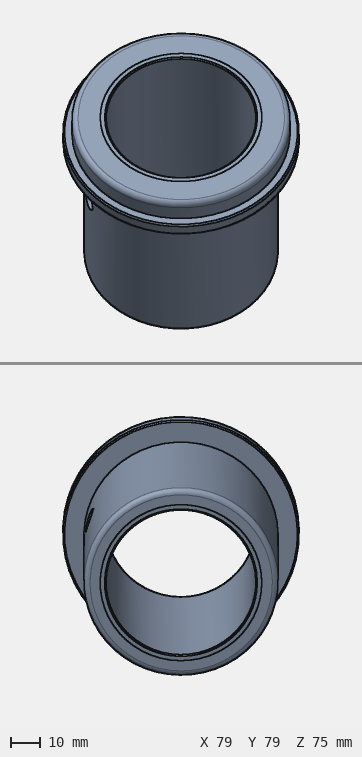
import cadquery as cq

height = 75.0
flange_radius = 39.5
head_radius = 36.5
body_radius = 32.5
liner_outer_radius = 27.0
bore_radius = 25.0

flange_top = height - 8.0
flange_bottom = height - 13.0
groove_bottom = height - 15.0
hole_level = height - 32.0

end_fillet = 2.0
flange_chamfer = 0.55
groove_depth = 0.9
bore_chamfer = 0.5
hole_radius = 4.0


def disc(radius, bottom, top):
    """Solid disc on the Z axis between two levels."""
    return cq.Workplane("XY").workplane(offset=bottom).circle(radius).extrude(top - bottom)


def relief_groove():
    """Concave relief around the body, deepest and vertical where it meets the flange."""
    groove_height = flange_bottom - groove_bottom
    arc_radius = (groove_height**2 + groove_depth**2) / (2 * groove_depth)
    return (
        cq.Workplane("XZ")
        .moveTo(body_radius, flange_bottom)
        .lineTo(body_radius - groove_depth, flange_bottom)
        .radiusArc((body_radius, groove_bottom), -arc_radius)
        .close()
        .revolve(360, (0, 0, 0), (0, 1, 0))
    )


def radial_hole():
    """Cylinder from the axis out through the -Y side of the housing wall."""
    return (
        cq.Workplane("XZ")
        .center(0, hole_level)
        .circle(hole_radius)
        .extrude(flange_radius)
    )


def make_housing():
    """Flanged outer bushing, bored to receive the liner."""
    body = disc(body_radius, 0, flange_bottom).faces("<Z").edges().fillet(end_fillet)
    flange = disc(flange_radius, flange_bottom, flange_top).edges().chamfer(flange_chamfer)
    head = disc(head_radius, flange_top, height).faces(">Z").edges().fillet(end_fillet)
    liner_seat = disc(liner_outer_radius, 0, height)
    return body.union(flange).union(head).cut(relief_groove()).cut(liner_seat).cut(radial_hole())


def make_liner():
    """Plain sleeve flush with both ends of the housing, chamfered at both bore mouths."""
    sleeve = disc(liner_outer_radius, 0, height).cut(disc(bore_radius, 0, height))
    bore_mouths = cq.selectors.RadiusNthSelector(0)
    return sleeve.faces("<Z or >Z").edges(bore_mouths).chamfer(bore_chamfer)


housing = make_housing()
liner = make_liner()
result = cq.Compound.makeCompound([housing.val(), liner.val()])